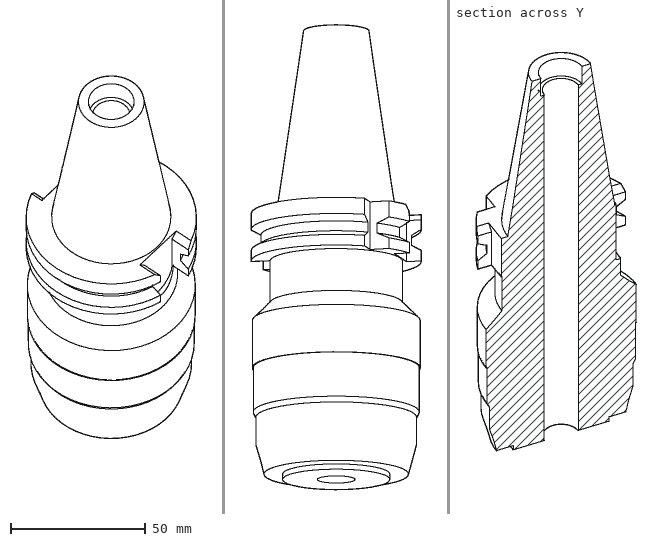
import cadquery as cq
import math


GAUGE_DIAMETER = 44.45
TAPER_LENGTH = 68.4
TAPER_RATIO = 7 / 24
TAPER_END_DIAMETER = GAUGE_DIAMETER - TAPER_LENGTH * TAPER_RATIO

FLANGE_DIAMETER = 63.55
FLANGE_TOP = -1.0
FLANGE_BOTTOM = -19.1
GROOVE_MIDDLE = -11.1
GROOVE_FLOOR_DIAMETER = 56.25
GROOVE_FLOOR_WIDTH = 3.75
GROOVE_HALF_ANGLE = 30
GROOVE_DEPTH = (FLANGE_DIAMETER - GROOVE_FLOOR_DIAMETER) / 2
GROOVE_FLOOR_HALF = GROOVE_FLOOR_WIDTH / 2
GROOVE_MOUTH_HALF = GROOVE_FLOOR_HALF + GROOVE_DEPTH * math.tan(math.radians(GROOVE_HALF_ANGLE))

SLOT_WIDTH = 16.1
SLOT_CHAMFER = 2.5
SHALLOW_SLOT_FLOOR = 25.0
DEEP_SLOT_FLOOR = 22.8

NOTCH_CORNER = 18.5

PROJECTION = 102.0
NECK_DIAMETER = 49.5
SHOULDER_TOP = -35.0
BODY_DIAMETER = 62.7
SHOULDER_BOTTOM = SHOULDER_TOP - (BODY_DIAMETER - NECK_DIAMETER) / 2
BODY_BOTTOM = -59.6
SLEEVE_DIAMETER = 62.0
SLEEVE_BOTTOM = -76.4
SLEEVE_CHAMFER_BOTTOM = -78.4
COLLAR_DIAMETER = 60.0
COLLAR_BOTTOM = -88.7
NOSE_LIP_HEIGHT = 2.0
NOSE_LIP_DIAMETER = 40.0
NOSE_BOTTOM = NOSE_LIP_HEIGHT - PROJECTION
NOSE_HALF_ANGLE = 15
NOSE_TAPER_HEIGHT = COLLAR_BOTTOM - NOSE_BOTTOM
NOSE_DIAMETER = COLLAR_DIAMETER - 2 * NOSE_TAPER_HEIGHT * math.tan(math.radians(NOSE_HALF_ANGLE))

BORE_DIAMETER = 14.0
COUNTERBORE_DIAMETER = 17.0
COUNTERBORE_DEPTH = 8.2


def holder_blank():
    """The turned outside of the holder, solid."""
    diameters_and_heights = [
        (0, TAPER_LENGTH),
        (TAPER_END_DIAMETER, TAPER_LENGTH),
        (GAUGE_DIAMETER, 0),
        (GAUGE_DIAMETER, FLANGE_TOP),
        (FLANGE_DIAMETER, FLANGE_TOP),
        (FLANGE_DIAMETER, GROOVE_MIDDLE + GROOVE_MOUTH_HALF),
        (GROOVE_FLOOR_DIAMETER, GROOVE_MIDDLE + GROOVE_FLOOR_HALF),
        (GROOVE_FLOOR_DIAMETER, GROOVE_MIDDLE - GROOVE_FLOOR_HALF),
        (FLANGE_DIAMETER, GROOVE_MIDDLE - GROOVE_MOUTH_HALF),
        (FLANGE_DIAMETER, FLANGE_BOTTOM),
        (NECK_DIAMETER, FLANGE_BOTTOM),
        (NECK_DIAMETER, SHOULDER_TOP),
        (BODY_DIAMETER, SHOULDER_BOTTOM),
        (BODY_DIAMETER, BODY_BOTTOM),
        (SLEEVE_DIAMETER, BODY_BOTTOM),
        (SLEEVE_DIAMETER, SLEEVE_BOTTOM),
        (COLLAR_DIAMETER, SLEEVE_CHAMFER_BOTTOM),
        (COLLAR_DIAMETER, COLLAR_BOTTOM),
        (NOSE_DIAMETER, NOSE_BOTTOM),
        (NOSE_LIP_DIAMETER, NOSE_BOTTOM),
        (NOSE_LIP_DIAMETER, -PROJECTION),
        (0, -PROJECTION),
    ]
    outline = [(diameter / 2, height) for diameter, height in diameters_and_heights]
    return cq.Workplane("YZ").polyline(outline).close().revolve(360, (0, 0), (0, 1))


def drive_slot(floor_distance, side):
    """Cutter for a round-ended slot with a chamfered mouth; side is +1 for +X and -1 for -X."""
    half_width = SLOT_WIDTH / 2
    mouth_half = half_width + SLOT_CHAMFER
    return (
        cq.Workplane("YZ", origin=(side * floor_distance, 0, 0))
        .moveTo(-mouth_half, FLANGE_TOP)
        .lineTo(mouth_half, FLANGE_TOP)
        .lineTo(half_width, FLANGE_TOP - SLOT_CHAMFER)
        .lineTo(half_width, FLANGE_BOTTOM)
        .threePointArc((0, FLANGE_BOTTOM - half_width), (-half_width, FLANGE_BOTTOM))
        .lineTo(-half_width, FLANGE_TOP - SLOT_CHAMFER)
        .close()
        .extrude(side * FLANGE_DIAMETER / 2)
    )


def corner_notch():
    """Cutter for the square notch, as tall as the flange."""
    return (
        cq.Workplane("XY", origin=(-NOTCH_CORNER, NOTCH_CORNER, FLANGE_BOTTOM))
        .rect(-FLANGE_DIAMETER / 2, FLANGE_DIAMETER / 2, centered=False)
        .extrude(FLANGE_TOP - FLANGE_BOTTOM)
    )


def cylinder_down(diameter, top, depth):
    """Cylinder on the axis that reaches down from the height top."""
    return cq.Workplane("XY", origin=(0, 0, top)).circle(diameter / 2).extrude(-depth)


result = (
    holder_blank()
    .cut(drive_slot(SHALLOW_SLOT_FLOOR, -1))
    .cut(drive_slot(DEEP_SLOT_FLOOR, 1))
    .cut(corner_notch())
    .cut(cylinder_down(BORE_DIAMETER, TAPER_LENGTH, TAPER_LENGTH + PROJECTION))
    .cut(cylinder_down(COUNTERBORE_DIAMETER, TAPER_LENGTH, COUNTERBORE_DEPTH))
)